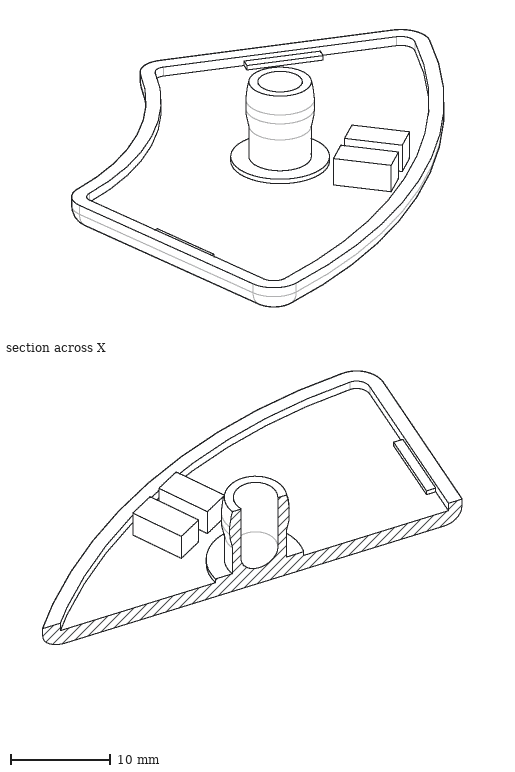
import cadquery as cq
import math

sector_angle = 60
outer_radius = 60.05
inner_radius = 30
outer_corner = 3.0
inner_corner = 2.65
tray_height = 3.0
bottom_fillet = 2.0
wall = 1.55
cavity_depth = 1
floor_z = tray_height - cavity_depth

post_distance = 44.9
pad_radius = 5.0
pad_height = 0.5
post_radius = 3.15
collar_radius = 3.45
post_top = 11.0
collar_band = 1
collar_taper = 2.0
bore_radius = 2.25

block_length = 6.0
block_width = 3.0
block_gap = 1.55
block_start = 51.4
block_top = tray_height + 2.0

tab_length = 8.0
tab_width = 1
tab_height = 0.5
tab_distance = 45.0


def polar(radius, angle):
    """Point at a radius and an angle in degrees about the origin."""
    return (radius * math.cos(math.radians(angle)), radius * math.sin(math.radians(angle)))


def rounded_sector(inset, base_z, height):
    """Solid ring sector with rounded corners, its outline moved inward by inset."""
    outer = outer_radius - inset
    inner = inner_radius + inset
    middle = sector_angle / 2
    outer_shift = math.degrees(math.asin(inset / outer))
    inner_shift = math.degrees(math.asin(inset / inner))
    solid = (
        cq.Workplane("XY")
        .workplane(offset=base_z)
        .moveTo(*polar(inner, inner_shift))
        .lineTo(*polar(outer, outer_shift))
        .threePointArc(polar(outer, middle), polar(outer, sector_angle - outer_shift))
        .lineTo(*polar(inner, sector_angle - inner_shift))
        .threePointArc(polar(inner, middle), polar(inner, inner_shift))
        .close()
        .extrude(height)
    )
    between = (inner + outer) / 2

    def corner_edges(is_outer):
        edges = solid.edges("|Z").vals()
        return [e for e in edges if (math.hypot(e.Center().x, e.Center().y) > between) == is_outer]

    outer_edges = corner_edges(True)
    inner_edges = corner_edges(False)
    rounded = solid.newObject(outer_edges).fillet(outer_corner - inset)
    return rounded.newObject(inner_edges).fillet(inner_corner - inset)


def make_tray():
    body = rounded_sector(0, 0, tray_height).faces("<Z").edges().fillet(bottom_fillet)
    return body.cut(rounded_sector(wall, floor_z, cavity_depth))


def make_post():
    """Pad and post about the Z axis; the collar tapers are arcs tangent to its band."""
    band_top = post_top - collar_taper
    band_bottom = band_top - collar_band
    shank_top = band_bottom - collar_taper
    pad_top = floor_z + pad_height
    taper_middle = collar_radius - (collar_radius - post_radius) / 4
    return (
        cq.Workplane("XZ")
        .moveTo(0, floor_z)
        .lineTo(pad_radius, floor_z)
        .lineTo(pad_radius, pad_top)
        .lineTo(post_radius, pad_top)
        .lineTo(post_radius, shank_top)
        .threePointArc((taper_middle, band_bottom - collar_taper / 2), (collar_radius, band_bottom))
        .lineTo(collar_radius, band_top)
        .threePointArc((taper_middle, band_top + collar_taper / 2), (post_radius, post_top))
        .lineTo(0, post_top)
        .close()
        .revolve(360, (0, 0, 0), (0, 1, 0))
    )


def make_bore():
    """Blind bore whose hemispherical end touches the floor level."""
    round_center = floor_z + bore_radius
    straight = (
        cq.Workplane("XY")
        .workplane(offset=round_center)
        .circle(bore_radius)
        .extrude(post_top - round_center)
    )
    round_end = cq.Workplane("XY").sphere(bore_radius).translate((0, 0, round_center))
    return straight.union(round_end)


def make_blocks():
    """Two blocks placed evenly about the +X axis."""
    pitch = block_width + block_gap
    return (
        cq.Workplane("XY")
        .workplane(offset=floor_z)
        .pushPoints([(block_start + block_length / 2, side * pitch / 2) for side in (-1, 1)])
        .rect(block_length, block_width)
        .extrude(block_top - floor_z)
    )


def make_tabs():
    """A tab against the wall of each straight side, mirrored about the sector's middle."""
    tab = cq.Workplane("XY").box(tab_length, tab_width, tab_height, centered=(True, False, False))
    first = tab.translate((tab_distance, wall, floor_z))
    second = first.mirror("XZ").rotate((0, 0, 0), (0, 0, 1), sector_angle)
    return first.union(second)


def to_middle(shape):
    """Turn a shape from the +X axis to the middle line of the sector."""
    return shape.rotate((0, 0, 0), (0, 0, 1), sector_angle / 2)


post_place = polar(post_distance, sector_angle / 2) + (0,)
result = (
    make_tray()
    .union(make_post().translate(post_place))
    .union(to_middle(make_blocks()))
    .union(make_tabs())
    .cut(make_bore().translate(post_place))
)